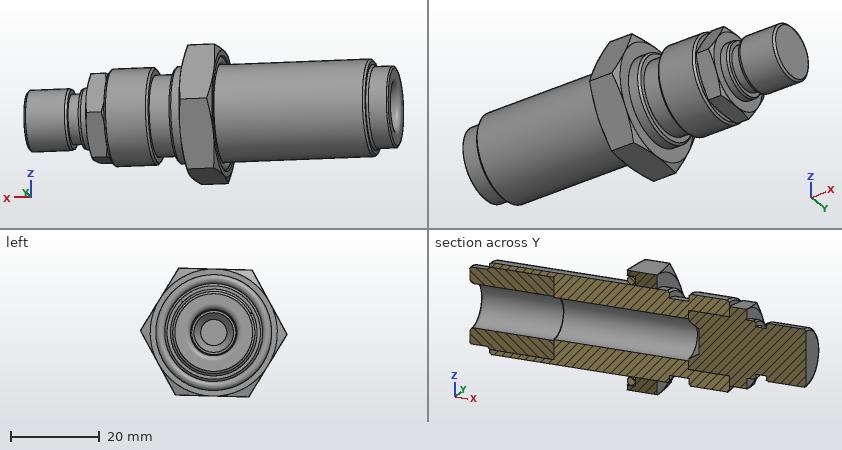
import cadquery as cq
import math

TOTAL_LENGTH = 84.2

HOUSING_START = 5.0
HOUSING_RADIUS = 11.0
HOUSING_CHAMFER = 0.5
NECK_RADIUS = 9.3
NECK_START = 50.0
NECK_END = 54.8
HOUSING_END = 65.0
HOUSING_BORE_RADIUS = 5.0

SLEEVE_RADIUS = 9.3
SLEEVE_END = 21.1
SLEEVE_RIM_LENGTH = 0.3
SLEEVE_RIM_HEIGHT = 0.5
FLARE_START = 4.5
FLARE_RADIUS = 9.8
SLEEVE_BORE_RADIUS = 5.2
MOUTH_ROUND = 1.3

NUT_START = 39.4
NUT_END = 47.0
NUT_ACROSS_FLATS = 28.6
NUT_TURN = 1.5
NUT_CHAMFER_LENGTH = 0.8

RING_SECTION_RADIUS = 1.0

CONNECTOR_HEX_END = 69.4
CONNECTOR_ACROSS_FLATS = 19.0
CONNECTOR_TURN = -3.5
CONNECTOR_CHAMFER_LENGTH = 0.5
TAIL_RADIUS = 7.0
TAIL_END_CHAMFER = 0.5
GROOVE_CHAMFER_LENGTH = 0.6
GROOVE_CHAMFER_HEIGHT = 0.25
GROOVE_RADIUS = 5.7
GROOVE_START = 71.7
GROOVE_END = 74.2
FUNNEL_MOUTH_RADIUS = 4.5
FUNNEL_FLOOR_RADIUS = 2.95
FUNNEL_DEPTH = 2.5


def revolve_about_x(profile):
    """Turn a closed outline, drawn as (x, radius), about the X axis."""
    return profile.close().revolve(360, (0, 0, 0), (1, 0, 0))


def cylinder(start, end, radius):
    """Solid cylinder on the X axis."""
    return cq.Workplane("YZ", origin=(start, 0, 0)).circle(radius).extrude(end - start)


def chamfered_hexagon(start, end, across_flats, turn, chamfer_length):
    """Hexagon on the X axis, corners cut by a cone at both ends; turn is in degrees from +Y to +Z."""
    flat_radius = across_flats / 2
    corner_radius = flat_radius / math.cos(math.radians(30))
    prism = (
        cq.Workplane("YZ", origin=(start, 0, 0))
        .polygon(6, 2 * corner_radius)
        .extrude(end - start)
        .rotate((0, 0, 0), (1, 0, 0), turn)
    )
    envelope = revolve_about_x(
        cq.Workplane("XY")
        .moveTo(start, 0)
        .lineTo(start, flat_radius)
        .lineTo(start + chamfer_length, corner_radius)
        .lineTo(end - chamfer_length, corner_radius)
        .lineTo(end, flat_radius)
        .lineTo(end, 0)
    )
    return prism.intersect(envelope)


def make_housing():
    """Tube with a neck, a socket for the sleeve and a socket for the connector."""
    front = cylinder(HOUSING_START, NECK_START, HOUSING_RADIUS).faces("<X or >X").chamfer(HOUSING_CHAMFER)
    neck = cylinder(NECK_START, NECK_END, NECK_RADIUS)
    barrel = cylinder(NECK_END, HOUSING_END, HOUSING_RADIUS).faces("<X or >X").chamfer(HOUSING_CHAMFER)
    sleeve_socket = cylinder(HOUSING_START, SLEEVE_END, FLARE_RADIUS)
    bore = cylinder(SLEEVE_END, NECK_END, HOUSING_BORE_RADIUS)
    connector_socket = cylinder(NECK_END, HOUSING_END, TAIL_RADIUS)
    return front.union(neck).union(barrel).cut(sleeve_socket).cut(bore).cut(connector_socket)


def make_sleeve():
    """Bored sleeve with a bevelled rim, a rounded mouth and a flare where it enters the housing."""
    mouth_radius = SLEEVE_BORE_RADIUS + MOUTH_ROUND
    round_offset = MOUTH_ROUND * math.sqrt(0.5)
    return revolve_about_x(
        cq.Workplane("XY")
        .moveTo(0, mouth_radius)
        .lineTo(0, SLEEVE_RADIUS - SLEEVE_RIM_HEIGHT)
        .lineTo(SLEEVE_RIM_LENGTH, SLEEVE_RADIUS)
        .lineTo(FLARE_START, SLEEVE_RADIUS)
        .lineTo(HOUSING_START, FLARE_RADIUS)
        .lineTo(SLEEVE_END, FLARE_RADIUS)
        .lineTo(SLEEVE_END, SLEEVE_BORE_RADIUS)
        .lineTo(MOUTH_ROUND, SLEEVE_BORE_RADIUS)
        .threePointArc((MOUTH_ROUND - round_offset, mouth_radius - round_offset), (0, mouth_radius))
    )


def make_nut():
    """Hexagon nut on the housing with a square recess for the sealing ring."""
    ring_width = 2 * RING_SECTION_RADIUS
    body = chamfered_hexagon(NUT_START, NUT_END, NUT_ACROSS_FLATS, NUT_TURN, NUT_CHAMFER_LENGTH)
    bore = cylinder(NUT_START, NUT_END, HOUSING_RADIUS)
    ring_recess = cylinder(NUT_START, NUT_START + ring_width, HOUSING_RADIUS + ring_width)
    return body.cut(bore).cut(ring_recess)


def make_sealing_ring():
    """Round-section ring between the housing and the nut."""
    centre_radius = HOUSING_RADIUS + RING_SECTION_RADIUS
    return (
        cq.Workplane("XY")
        .center(NUT_START + RING_SECTION_RADIUS, centre_radius)
        .circle(RING_SECTION_RADIUS)
        .revolve(360, (0, -centre_radius, 0), (1, -centre_radius, 0))
    )


def make_connector():
    """Spigot in the housing, hexagon, collar, groove and tail, with a blind funnel facing the bore."""
    spigot = cylinder(NECK_END, HOUSING_END, TAIL_RADIUS)
    hexagon = chamfered_hexagon(
        HOUSING_END, CONNECTOR_HEX_END, CONNECTOR_ACROSS_FLATS, CONNECTOR_TURN, CONNECTOR_CHAMFER_LENGTH
    )
    shank = revolve_about_x(
        cq.Workplane("XY")
        .moveTo(CONNECTOR_HEX_END, 0)
        .lineTo(CONNECTOR_HEX_END, TAIL_RADIUS)
        .lineTo(GROOVE_START - GROOVE_CHAMFER_LENGTH, TAIL_RADIUS)
        .lineTo(GROOVE_START, TAIL_RADIUS - GROOVE_CHAMFER_HEIGHT)
        .lineTo(GROOVE_START, GROOVE_RADIUS)
        .lineTo(GROOVE_END, GROOVE_RADIUS)
        .lineTo(GROOVE_END, TAIL_RADIUS - GROOVE_CHAMFER_HEIGHT)
        .lineTo(GROOVE_END + GROOVE_CHAMFER_LENGTH, TAIL_RADIUS)
        .lineTo(TOTAL_LENGTH - TAIL_END_CHAMFER, TAIL_RADIUS)
        .lineTo(TOTAL_LENGTH, TAIL_RADIUS - TAIL_END_CHAMFER)
        .lineTo(TOTAL_LENGTH, 0)
    )
    funnel = revolve_about_x(
        cq.Workplane("XY")
        .moveTo(NECK_END, 0)
        .lineTo(NECK_END, FUNNEL_MOUTH_RADIUS)
        .lineTo(NECK_END + FUNNEL_DEPTH, FUNNEL_FLOOR_RADIUS)
        .lineTo(NECK_END + FUNNEL_DEPTH, 0)
    )
    return spigot.union(hexagon).union(shank).cut(funnel)


housing = make_housing()
sleeve = make_sleeve()
nut = make_nut()
sealing_ring = make_sealing_ring()
connector = make_connector()

result = cq.Compound.makeCompound(
    [housing.val(), sleeve.val(), nut.val(), sealing_ring.val(), connector.val()]
)